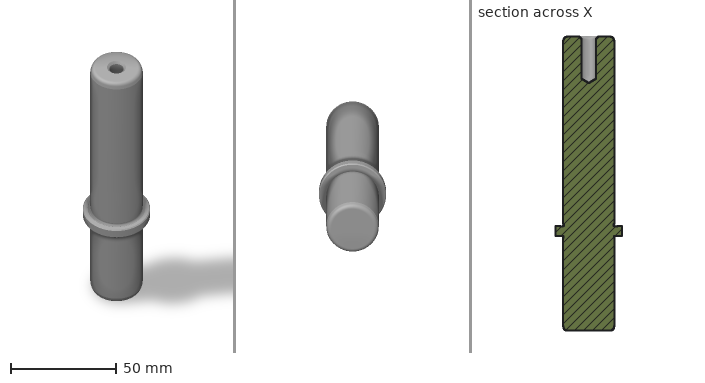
import cadquery as cq
import math

length = 140.0
pin_radius = 25.0 / 2
fit_end_z = 71.0

collar_radius = 32.0 / 2
collar_bottom_z = 45.0
collar_thickness = 5.0
collar_top_z = collar_bottom_z + collar_thickness
collar_chamfer = 0.5

neck_radius = pin_radius - 0.4
neck_width = 1.2
neck_cone_angle = math.radians(30.0)

relief_radius = pin_radius - 0.7
relief_width = 1.2
relief_fillet = 0.8
recess_radius = 13.7
recess_floor_radius = 13.4
recess_depth = 0.2

lead_length = 3.0
lead_angle = math.radians(15.0)
lead_arc_radius = 2.0

hole_radius = 6.8 / 2
hole_mouth_radius = 9.0 / 2
hole_depth = 20.0
countersink_depth = hole_mouth_radius - hole_radius
drill_tip_angle = math.radians(118.0)

lead_arc_height = lead_arc_radius * (1 - math.sin(lead_angle))
lead_arc_end_radius = pin_radius - (lead_length - lead_arc_height) * math.tan(lead_angle)
lead_arc_centre_radius = lead_arc_end_radius - lead_arc_radius * math.cos(lead_angle)
lead_arc_mid_angle = (lead_angle + math.pi / 2) / 2
lead_arc_mid_radius = lead_arc_centre_radius + lead_arc_radius * math.cos(lead_arc_mid_angle)
lead_arc_mid_height = lead_arc_radius * (1 - math.sin(lead_arc_mid_angle))

neck_cone_height = (pin_radius - neck_radius) / math.tan(neck_cone_angle)
recess_floor_z = collar_top_z - recess_depth


def make_pin():
    """Revolve the half section, in radius and height, from the bottom centre upwards."""
    section = (
        cq.Workplane("XZ")
        .lineTo(lead_arc_centre_radius, 0)
        .threePointArc(
            (lead_arc_mid_radius, lead_arc_mid_height),
            (lead_arc_end_radius, lead_arc_height),
        )
        .lineTo(pin_radius, lead_length)
        .lineTo(pin_radius, collar_bottom_z - neck_width)
        .lineTo(neck_radius, collar_bottom_z - neck_width + neck_cone_height)
        .lineTo(neck_radius, collar_bottom_z)
        .lineTo(collar_radius - collar_chamfer, collar_bottom_z)
        .lineTo(collar_radius, collar_bottom_z + collar_chamfer)
        .lineTo(collar_radius, collar_top_z - collar_chamfer)
        .lineTo(collar_radius - collar_chamfer, collar_top_z)
        .lineTo(recess_radius, collar_top_z)
        .lineTo(recess_floor_radius, recess_floor_z)
        .lineTo(relief_radius + relief_fillet, recess_floor_z)
        .tangentArcPoint((relief_radius, recess_floor_z + relief_fillet), relative=False)
        .lineTo(pin_radius, collar_top_z + relief_width)
        .lineTo(pin_radius, fit_end_z)
        .lineTo(pin_radius, length - lead_length)
        .lineTo(lead_arc_end_radius, length - lead_arc_height)
        .threePointArc(
            (lead_arc_mid_radius, length - lead_arc_mid_height),
            (lead_arc_centre_radius, length),
        )
        .lineTo(0, length)
        .close()
    )
    return section.revolve(360, (0, 0, 0), (0, 1, 0), clean=False)


def make_hole():
    """Countersunk blind hole with a conical drill tip."""
    tip_height = hole_radius / math.tan(drill_tip_angle / 2)
    section = (
        cq.Workplane("XZ", origin=(0, 0, length))
        .lineTo(hole_mouth_radius, 0)
        .lineTo(hole_radius, -countersink_depth)
        .lineTo(hole_radius, -hole_depth)
        .lineTo(0, -hole_depth - tip_height)
        .close()
    )
    return section.revolve(360, (0, 0, 0), (0, 1, 0), clean=False)


result = make_pin().cut(make_hole(), clean=False)